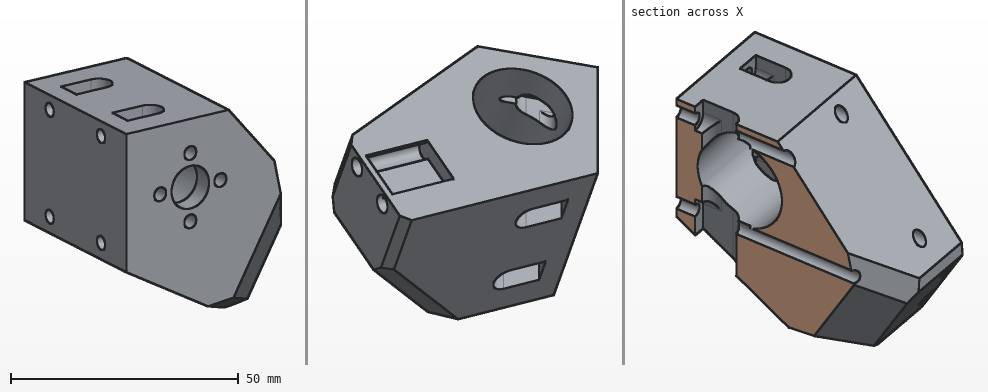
import cadquery as cq
import math

width = 39.7
height = 56.7
full_depth = 55.8
front_height = 32.35
top_depth = 27.2
back_slope_angle = 50.0
tilt_angle = 30.0

nose_length = 50.6
corner_cut = 20.0
nose_chamfer = 2.0
cut_chamfer = 3.95

axis_y = 17.0
axis_z = 40.7
bore_diameter = 22.5
bore_depth = 35.0
shaft_diameter = 10.0
bolt_radius = 8.0
bolt_count = 4
screw_diameter = 3.2

screw_spacing_x = 20.0
screw_spacing_z = 25.0
pocket_width = 6.0
pocket_front = 5.05
pocket_back = 16.05
through_slot_front = 7.0

recess_start = 33.0
recess_end = 49.0
recess_middle = 14.2
recess_width = 12.0
recess_depth = 3.75
rod_diameter = 4.2
rod_spacing = 11.45
rod_depth = 2.95

tilt = math.radians(tilt_angle)
screw_xs = [(width - screw_spacing_x) / 2, (width + screw_spacing_x) / 2]
upper_screw_z = axis_z + screw_spacing_z / 2
lower_screw_z = axis_z - screw_spacing_z / 2

nose_plane = cq.Plane(
    origin=(0, 0, height - front_height),
    xDir=(0, math.cos(tilt), -math.sin(tilt)),
    normal=(1, 0, 0),
)
underside_normal = nose_plane.yDir
nose_direction = nose_plane.xDir


def make_body():
    """Side outline swept across the width, with the nose corner cut off and its rims chamfered."""
    top_back = nose_plane.toLocalCoords(cq.Vector(0, top_depth, height))
    top_front = nose_plane.toLocalCoords(cq.Vector(0, 0, height))
    slope = math.radians(back_slope_angle - tilt_angle)
    nose_height = top_back.y - (nose_length - top_back.x) * math.tan(slope)
    outline = [
        (0, 0),
        (nose_length, 0),
        (nose_length, nose_height),
        (top_back.x, top_back.y),
        (top_front.x, top_front.y),
    ]
    body = cq.Workplane(nose_plane).polyline(outline).close().extrude(width)

    nose_face = cq.selectors.DirectionMinMaxSelector(nose_direction)
    along_nose_height = cq.selectors.ParallelDirSelector(underside_normal)
    body = body.faces(nose_face).edges(along_nose_height).edges(">X").chamfer(corner_cut)

    cut_face = cq.selectors.DirectionMinMaxSelector(nose_direction + cq.Vector(1, 0, 0))
    cut_rim = cq.selectors.InverseSelector(along_nose_height)
    body = body.faces(cut_face).edges(cut_rim).chamfer(cut_chamfer)
    return body.faces(nose_face).edges("|X").chamfer(nose_chamfer)


def make_bore():
    """Blind bore from the -X side, with a shaft hole and a ring of screw holes in its floor."""
    side = cq.Workplane("YZ", origin=(0, axis_y, axis_z))
    bore = side.circle(bore_diameter / 2).extrude(bore_depth)
    shaft = side.circle(shaft_diameter / 2).extrude(width)
    screws = (
        side.polarArray(bolt_radius, 0, 360, bolt_count)
        .circle(screw_diameter / 2)
        .extrude(width)
    )
    return bore.union(shaft).union(screws)


def along_y(x, z, diameter, start, end):
    """Cylinder parallel to Y."""
    return cq.Workplane("XZ", origin=(x, start, z)).circle(diameter / 2).extrude(start - end)


def make_head_pocket(x, screw_z, open_z):
    """Upright pocket from a screw out to open_z: flat in front, round behind and round at its end."""
    radius = pocket_width / 2
    centre_y = pocket_back - radius
    low_z = min(screw_z, open_z)
    span = abs(open_z - screw_z)
    channel = (
        cq.Workplane("XY", origin=(x, (pocket_front + centre_y) / 2, low_z))
        .rect(pocket_width, centre_y - pocket_front)
        .extrude(span)
    )
    return channel.union(along_y(x, screw_z, pocket_width, pocket_front, centre_y))


def make_screw_cuts(x):
    """Upper and lower screw holes, their head pockets and the upright slot joining them."""
    slot_length = pocket_back - through_slot_front
    slot = (
        cq.Workplane("XY", origin=(x, (pocket_back + through_slot_front) / 2, 0))
        .slot2D(slot_length, pocket_width, 90)
        .extrude(height)
    )
    cuts = slot.union(make_head_pocket(x, upper_screw_z, height))
    cuts = cuts.union(make_head_pocket(x, lower_screw_z, 0))
    for z in (upper_screw_z, lower_screw_z):
        cuts = cuts.union(along_y(x, z, screw_diameter, 0, full_depth))
    return cuts


def make_nose_recess():
    """Recess in the -X side and two rod holes running from it out through the nose."""
    recess = (
        cq.Workplane(nose_plane)
        .center((recess_start + recess_end) / 2, recess_middle)
        .rect(recess_end - recess_start, recess_width)
        .extrude(recess_depth)
    )
    rod_plane = cq.Plane(
        origin=nose_plane.toWorldCoords((recess_start, recess_middle, rod_depth)),
        xDir=underside_normal,
        normal=nose_direction,
    )
    rods = (
        cq.Workplane(rod_plane)
        .pushPoints([(-rod_spacing / 2, 0), (rod_spacing / 2, 0)])
        .circle(rod_diameter / 2)
        .extrude(nose_length - recess_start)
    )
    return recess.union(rods)


result = make_body().cut(make_bore()).cut(make_nose_recess())
for screw_x in screw_xs:
    result = result.cut(make_screw_cuts(screw_x))